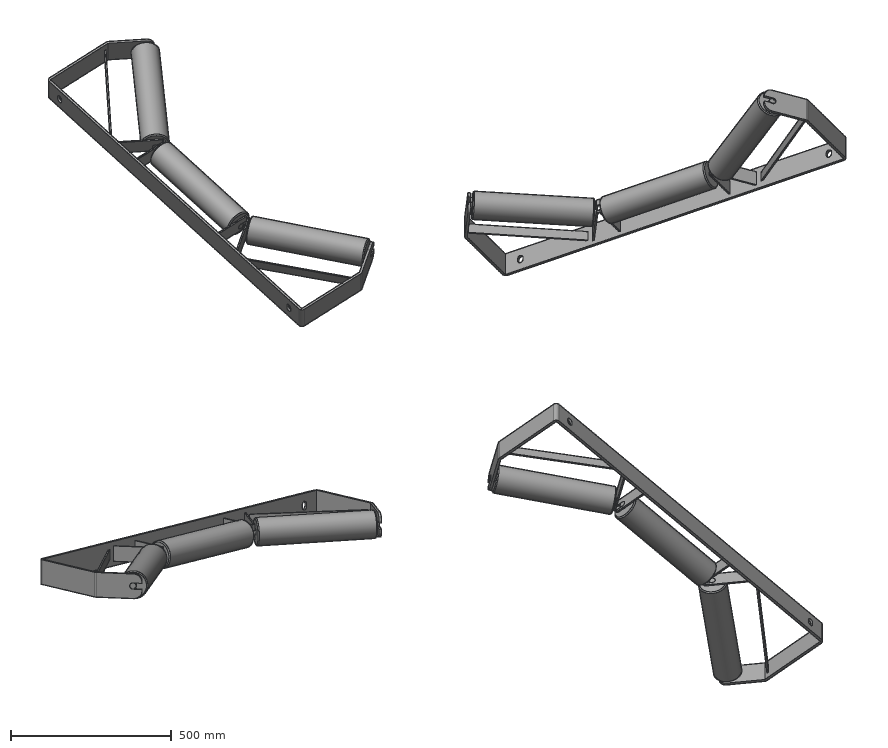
import cadquery as cq
import math


frame_width = 1240.0
strip_height = 79.0
strip_thickness = 8.0
bend_radius = 12.0
bend_height = 244.0
trough_angle = 35.0
pin_to_tab_tip = 29.0
tab_corner_radius = 25.0
mounting_slot_x = 558.0
mounting_slot_width = 19.0
mounting_slot_height = 27.0

bracket_gap = 6.0
bracket_thickness = 5.0
bracket_height = 50.0
bracket_top = 130.0
bracket_top_width = 15.0
bracket_corner_radius = 4.0
pin_to_bracket_top = 24.0
brace_height = 32.0
brace_thickness = 5.0
brace_foot_x = 312.0
brace_top_y = 233.0

roller_diameter = 89.0
roller_length = 380.0
roller_chamfer = 4.0
shaft_diameter = 20.0
shaft_stub = bracket_gap + bracket_thickness
center_axis_height = 104.0
shaft_drop = 6.0
tilt_angle = 1.0

slot_depth = 16.0
slot_reach = 37.0

half_width = frame_width / 2
trough = math.radians(trough_angle)
axis_x, axis_y = math.cos(trough), math.sin(trough)
tab_x, tab_y = -math.sin(trough), math.cos(trough)
axis_z = math.tan(math.radians(tilt_angle))

leg_x = roller_length / 2 + bracket_gap
bracket_top_x = leg_x + bracket_top_width

center_offset = bracket_gap + roller_length / 2
side_x = bracket_top_x - pin_to_bracket_top * tab_x + center_offset * axis_x
side_y = bracket_top - pin_to_bracket_top * tab_y + center_offset * axis_y
side_z = -shaft_drop + center_offset * axis_z

tab_length = (side_x - half_width) * tab_x + (side_y - bend_height) * tab_y + pin_to_tab_tip


def plate(outline, height):
    """Plate standing along Z, with the given XY outline and centred on Z = 0."""
    return cq.Workplane("XY").polyline(outline).close().extrude(height / 2, both=True)


def edge_near(x, y, z=0):
    return cq.selectors.NearestToPointSelector((x, y, z))


def with_mirror_image(body):
    return body.union(body.mirror("YZ"))


def roller_plane(side):
    """Plane at a roller's middle: local Z along the axis, local X towards the slot opening."""
    if side == 0:
        return cq.Plane((0, center_axis_height, -shaft_drop), xDir=(0, 1, 0), normal=(1, 0, 0))
    return cq.Plane(
        (side * side_x, side_y, side_z),
        xDir=(side * tab_x, tab_y, 0),
        normal=(side * axis_x, axis_y, axis_z),
    )


def make_roller(side):
    middle = cq.Workplane(roller_plane(side))
    drum = middle.workplane(offset=-roller_length / 2).circle(roller_diameter / 2).extrude(roller_length)
    drum = drum.edges("%CIRCLE").chamfer(roller_chamfer)
    shaft_length = roller_length + 2 * shaft_stub
    shaft = middle.workplane(offset=-shaft_length / 2).circle(shaft_diameter / 2).extrude(shaft_length)
    return drum.union(shaft)


def cut_shaft_slots(body, side):
    """Cut the round-bottomed open slots that hold both shaft ends of one roller."""
    for end in (-1, 1):
        end_face = cq.Workplane(roller_plane(side)).workplane(offset=end * roller_length / 2)
        seat = end_face.circle(shaft_diameter / 2).extrude(end * slot_depth)
        opening = end_face.center(slot_reach / 2, 0).rect(slot_reach, shaft_diameter).extrude(end * slot_depth)
        body = body.cut(seat.union(opening))
    return body


def make_strip():
    tip_x = half_width + tab_length * tab_x
    tip_y = bend_height + tab_length * tab_y
    right_half = [
        (half_width, 0),
        (half_width, bend_height),
        (tip_x, tip_y),
        (tip_x - strip_thickness * axis_x, tip_y - strip_thickness * axis_y),
        (half_width - strip_thickness, bend_height - strip_thickness * math.tan(trough / 2)),
        (half_width - strip_thickness, strip_thickness),
    ]
    left_half = [(-x, y) for x, y in reversed(right_half)]
    strip = plate(right_half + left_half, strip_height)

    tip_middle_x = tip_x - strip_thickness * axis_x / 2
    tip_middle_y = tip_y - strip_thickness * axis_y / 2
    for side in (-1, 1):
        for bend_y in (0, bend_height):
            strip = strip.edges(edge_near(side * half_width, bend_y)).fillet(bend_radius)
        for corner_z in (-strip_height / 2, strip_height / 2):
            corner = edge_near(side * tip_middle_x, tip_middle_y, corner_z)
            strip = strip.edges(corner).fillet(tab_corner_radius)

    mounting_slots = (
        cq.Workplane("XZ")
        .pushPoints([(-mounting_slot_x, 0), (mounting_slot_x, 0)])
        .slot2D(mounting_slot_height, mounting_slot_width, 90)
        .extrude(-strip_thickness)
    )
    return strip.cut(mounting_slots)


def make_bracket():
    """Right V bracket: an upright leg for the centre roller and a sloping one for the side roller."""
    slope = math.tan(trough)
    sloping_width = bracket_thickness / math.cos(trough)
    foot_y = strip_thickness
    foot_x = bracket_top_x + (bracket_top - foot_y) * slope
    inner_top = bracket_top - bracket_thickness
    outline = [
        (leg_x, foot_y),
        (leg_x, bracket_top),
        (bracket_top_x, bracket_top),
        (foot_x, foot_y),
        (foot_x - sloping_width, foot_y),
        (bracket_top_x - sloping_width + bracket_thickness * slope, inner_top),
        (leg_x + bracket_thickness, inner_top),
        (leg_x + bracket_thickness, foot_y),
    ]
    bracket = plate(outline, bracket_height)
    return bracket.edges(edge_near(leg_x, bracket_top)).fillet(bracket_corner_radius)


def make_brace():
    """Right diagonal brace from the base to the arm."""
    arm_x = half_width - strip_thickness
    slope = math.atan2(brace_top_y - strip_thickness, arm_x - brace_foot_x)
    outline = [
        (brace_foot_x, strip_thickness),
        (arm_x, brace_top_y),
        (arm_x, brace_top_y - brace_thickness / math.cos(slope)),
        (brace_foot_x + brace_thickness / math.sin(slope), strip_thickness),
    ]
    return plate(outline, brace_height)


roller_sides = (-1, 0, 1)

frame = make_strip().union(with_mirror_image(make_bracket())).union(with_mirror_image(make_brace()))
for roller_side in roller_sides:
    frame = cut_shaft_slots(frame, roller_side)

rollers = [make_roller(roller_side) for roller_side in roller_sides]

result = cq.Compound.makeCompound([frame.solids().val(), *[roller.solids().val() for roller in rollers]])